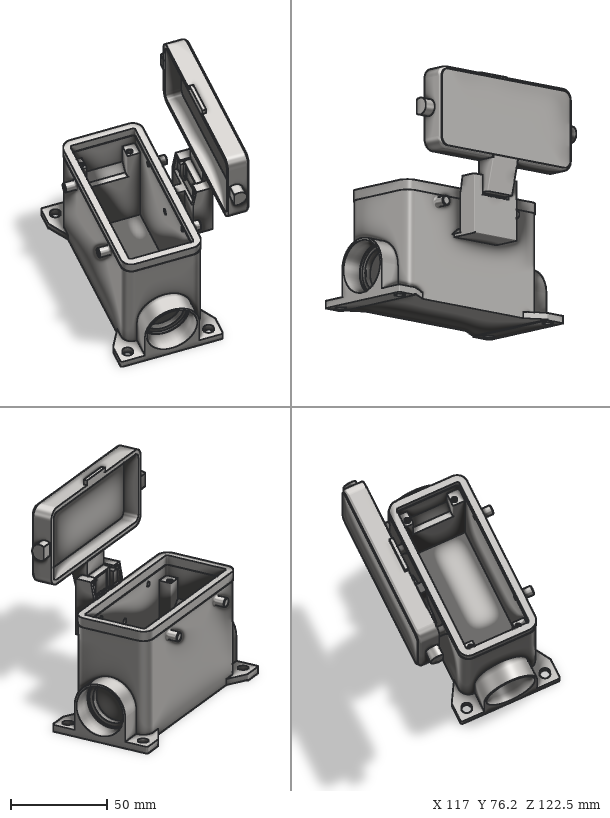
import cadquery as cq

housing_length = 94.3
housing_width = 44.3
housing_top = 63.1
housing_bottom = 0.5
band_bottom = 57.6
band_step = 0.2
housing_corner_radius = 5.9
cavity_length = 86.2
cavity_width = 36.0
cavity_corner_radius = 1.2
cavity_floor = 3.9
cavity_step = 0.4

entry_wall_spacing = 71.8
shelf_height = 35.4
shelf_slope_run = 4.2

screw_post_width = 7.0
screw_post_top = 51.2
screw_post_edge_radius = 0.5
screw_spacing_x = 77.7
screw_spacing_y = 27.2
screw_hole_diameter = 2.2
screw_hole_depth = 14.7
screw_hole_chamfer = 0.5

foot_length = 117.0
foot_width = 57.1
foot_height = 3.9
foot_corner_radius = 1.1
foot_inner_x = 46.9
taper_end_x = 35.6
foot_hole_x = 52.5
foot_hole_y = 22.5
foot_hole_diameter = 5.8

entry_height = 17.9
entry_radius = 15.2
entry_mouth_radius = 14.0
entry_bore_radius = 13.6
entry_bore_depth = 12.9
knockout_radius = 11.5
knockout_depth = 3.7

peg_x = 24.7
peg_height = 53.5
peg_radius = 2.6
peg_root_fillet = 1.1
peg_reach = 28.4
peg_end_chamfer = 0.4
wall_hole_depth = 2.5
peg_hole_diameter = 2.7
hinge_hole_diameter = 3.2
hinge_hole_height = 42.1

bracket_width = 30.1
bracket_back = 39.5
bracket_front = 28.3
bracket_top_front = 30.1
bracket_top = 67.7
bracket_bottom = 36.0
bracket_edge_fillet = 0.5
lip_front = 23.8
lip_thickness = 1.8
sill_height = 57.1
sill_thickness = 1.8
slot_floor = 51.5
ear_seat = 64.3
ear_face_recess = 2.2
ear_wall = 1.8
ear_roof = 1.1
ear_back_wall = 1.5
stem_half_width = 2.8
stem_arc_radius = 8.0
stem_foot_height = 41.2
stem_foot_half_width = 14.7

cover_length = 94.3
cover_bottom = 76.0
cover_top = 119.8
cover_front = 35.6
cover_back = 47.7
cover_corner_radius = 5.9
cover_wall = 2.6
cover_back_thickness = 3.1
cover_back_fillet = 1.5
cover_panel_height = 0.6
tab_width = 18.9
tab_top = 122.5
tab_thickness = 2.1
latch_reach = 53.4
latch_radius = 4.5
latch_y = 39.1
latch_flat_y = 36.5

tongue_width = 17.6
tongue_gap = 0.4
tongue_front = 36.0
tongue_bottom = 58.5
tongue_bottom_back = 42.6
tongue_back_fillet = 0.5
knuckle_front = 32.3
knuckle_ledge_top = 67.4
knuckle_top = 66.6
knuckle_recess_width = 12.7
knuckle_recess_depth = 0.7
knuckle_recess_top = 65.9
knuckle_bottom = 55.1
knuckle_depth = 4.9

lower_length = housing_length - 2 * band_step
lower_width = housing_width - 2 * band_step
lower_cavity_width = cavity_width + 2 * cavity_step
end_wall_x = cavity_length / 2 + cavity_step
inner_wall_y = lower_cavity_width / 2
post_inner_x = entry_wall_spacing / 2
slot_width = tongue_width + 2 * tongue_gap
pocket_width = bracket_width - 2 * ear_wall
embed = 1.2


def box(x_range, y_range, z_range):
    """Axis-aligned block between the given limits."""
    size = [high - low for low, high in (x_range, y_range, z_range)]
    corner = (x_range[0], y_range[0], z_range[0])
    return cq.Workplane("XY").box(*size, centered=False).translate(corner)


def rounded_block(length, width, radius, bottom, top):
    """Upright block centred on Z, with rounded vertical edges."""
    block = cq.Workplane("XY").workplane(offset=bottom).rect(length, width).extrude(top - bottom)
    return block.edges("|Z").fillet(radius)


def cylinder(center, direction, radius, length):
    """Round bar that starts at center and runs along direction."""
    return cq.Workplane(cq.Solid.makeCylinder(radius, length, cq.Vector(*center), cq.Vector(*direction)))


def prism_along_x(points, width):
    """Prism of a YZ outline, centred on the YZ plane."""
    return cq.Workplane("YZ").polyline(points).close().extrude(width / 2, both=True)


def housing_shell():
    lower = rounded_block(lower_length, lower_width, housing_corner_radius, housing_bottom, band_bottom)
    band = rounded_block(housing_length, housing_width, housing_corner_radius, band_bottom, housing_top)
    return lower.union(band)


def foot(side):
    """Mounting foot with its tapered gussets; side is -1 or 1."""
    end_x = foot_length / 2
    half_width = foot_width / 2
    wall_y = lower_width / 2
    outline = [
        (end_x, -half_width),
        (end_x, half_width),
        (foot_inner_x, half_width),
        (taper_end_x, wall_y),
        (taper_end_x, -wall_y),
        (foot_inner_x, -half_width),
    ]
    plate = cq.Workplane("XY").polyline(outline).close().extrude(foot_height)
    for side_y in ("<Y", ">Y"):
        plate = plate.faces(side_y).edges("|Z").fillet(foot_corner_radius)
    relief = box((0, foot_inner_x), (-half_width, half_width), (0, housing_bottom))
    plate = plate.cut(relief)
    for y in (-foot_hole_y, foot_hole_y):
        plate = plate.cut(cylinder((foot_hole_x, y, 0), (0, 0, 1), foot_hole_diameter / 2, foot_height))
    return plate if side > 0 else plate.mirror("YZ")


def entry_boss(side):
    """Arched boss that carries a cable entry."""
    wall_x = lower_length / 2 - embed
    reach = foot_length / 2 - wall_x
    arch = cylinder((wall_x, 0, entry_height), (1, 0, 0), entry_radius, reach)
    base = box((wall_x, foot_length / 2), (-entry_radius, entry_radius), (housing_bottom, entry_height))
    boss = arch.union(base)
    return boss if side > 0 else boss.mirror("YZ")


def entry_bore(side):
    """Blind stepped bore of a cable entry, closed by a knockout wall."""
    end = (side * foot_length / 2, 0, entry_height)
    inward = (-side, 0, 0)
    mouth = cylinder(end, inward, entry_mouth_radius, (foot_length - housing_length) / 2)
    bore = mouth.union(cylinder(end, inward, entry_bore_radius, entry_bore_depth))
    return bore.union(cylinder(end, inward, knockout_radius, entry_bore_depth + knockout_depth))


def cavity():
    """Open interior: wide above the shelves, narrower between the thickened end walls."""
    rim = rounded_block(cavity_length, cavity_width, cavity_corner_radius, band_bottom, housing_top)
    below = rounded_block(2 * end_wall_x, lower_cavity_width, cavity_corner_radius + cavity_step,
                          cavity_floor, band_bottom)
    slope_x = end_wall_x - shelf_slope_run
    half_profile = [
        (post_inner_x, cavity_floor),
        (post_inner_x, shelf_height),
        (slope_x, shelf_height),
        (end_wall_x, shelf_height + shelf_slope_run),
        (end_wall_x, cavity_floor),
    ]
    end_wall = cq.Workplane("XZ").polyline(half_profile).close().extrude(inner_wall_y, both=True)
    return rim.union(below).cut(end_wall).cut(end_wall.mirror("YZ"))


def screw_post(side_x, side_y):
    """Corner post with a blind, chamfered screw hole."""
    inner_y = inner_wall_y - screw_post_width
    outer_x = end_wall_x + embed
    post = box((post_inner_x, outer_x), (inner_y, inner_wall_y + embed), (cavity_floor, screw_post_top))
    inner_edge = cq.selectors.NearestToPointSelector((post_inner_x, inner_y, screw_post_top / 2))
    post = post.edges("|Z").edges(inner_edge).fillet(screw_post_edge_radius)
    center = (screw_spacing_x / 2, screw_spacing_y / 2, screw_post_top)
    radius = screw_hole_diameter / 2
    hole = cylinder(center, (0, 0, -1), radius, screw_hole_depth)
    mouth = cq.Workplane(cq.Solid.makeCone(radius + screw_hole_chamfer, radius, screw_hole_chamfer,
                                           cq.Vector(*center), cq.Vector(0, 0, -1)))
    post = post.cut(hole).cut(mouth)
    if side_x < 0:
        post = post.mirror("YZ")
    if side_y < 0:
        post = post.mirror("XZ")
    return post


def peg(x, side):
    """Locking peg on a long wall, with a flared root; side is the sign of Y."""
    wall = lower_width / 2
    flare_end = wall + peg_root_fillet
    flare_radius = peg_radius + peg_root_fillet
    root = wall - embed
    profile = (
        cq.Workplane("XY")
        .moveTo(0, root)
        .lineTo(flare_radius, root)
        .lineTo(flare_radius, wall)
        .radiusArc((peg_radius, flare_end), peg_root_fillet)
        .lineTo(peg_radius, peg_reach - peg_end_chamfer)
        .lineTo(peg_radius - peg_end_chamfer, peg_reach)
        .lineTo(0, peg_reach)
        .close()
    )
    body = profile.revolve(360, (0, 0, 0), (0, 1, 0))
    if side < 0:
        body = body.mirror("XZ")
    return body.translate((x, 0, peg_height))


def bracket_stem():
    """Flared rib that joins the bracket to the back wall of the housing."""
    arc_start_x = stem_half_width + stem_arc_radius
    arc_end_z = stem_foot_height + stem_arc_radius
    foot_z = bracket_bottom + lip_thickness
    outline = (
        cq.Workplane("XZ", origin=(0, bracket_front, 0))
        .moveTo(-stem_foot_half_width, foot_z)
        .lineTo(stem_foot_half_width, foot_z)
        .lineTo(arc_start_x, stem_foot_height)
        .radiusArc((stem_half_width, arc_end_z), stem_arc_radius)
        .lineTo(stem_half_width, sill_height)
        .lineTo(-stem_half_width, sill_height)
        .lineTo(-stem_half_width, arc_end_z)
        .radiusArc((-arc_start_x, stem_foot_height), stem_arc_radius)
        .close()
    )
    return outline.extrude(bracket_front - lower_width / 2 + embed)


def bracket():
    """Block with a bottom lip, opened at the top front into a slot for the hinge knuckle."""
    lip_top = bracket_bottom + lip_thickness
    profile = [
        (bracket_back, bracket_bottom),
        (bracket_back, bracket_top),
        (bracket_top_front, bracket_top),
        (bracket_front, band_bottom),
        (bracket_front, lip_top),
        (lip_front, lip_top),
        (lip_front, bracket_bottom),
    ]
    block = prism_along_x(profile, bracket_width)
    block = block.faces(">Y").edges().fillet(bracket_edge_fillet)
    half_slot = slot_width / 2
    half_pocket = pocket_width / 2
    pocket_z = (ear_seat, bracket_top - ear_roof)
    pocket = box((-half_pocket, half_pocket), (lip_front, bracket_back - ear_back_wall), pocket_z)
    face_recess = box((-half_pocket, half_pocket), (lip_front, bracket_front + ear_face_recess),
                      (sill_height, bracket_top - ear_roof))
    slot = box((-half_slot, half_slot), (lip_front, bracket_back), (sill_height, bracket_top))
    well = box((-half_slot, half_slot), (bracket_front + sill_thickness, bracket_back - ear_back_wall),
               (slot_floor, sill_height))
    return block.cut(pocket).cut(face_recess).cut(slot).cut(well)


def make_housing():
    body = housing_shell()
    for side in (-1, 1):
        body = body.union(foot(side)).union(entry_boss(side))
    body = body.cut(cavity())
    for side in (-1, 1):
        body = body.cut(entry_bore(side))
        for side_y in (-1, 1):
            body = body.union(screw_post(side, side_y))
            body = body.union(peg(side * peg_x, side_y))
            peg_hole = (side * peg_x, side_y * inner_wall_y, peg_height)
            body = body.cut(cylinder(peg_hole, (0, side_y, 0), peg_hole_diameter / 2, wall_hole_depth))
    body = body.union(bracket().union(bracket_stem()))
    hinge_hole = (0, inner_wall_y, hinge_hole_height)
    return body.cut(cylinder(hinge_hole, (0, 1, 0), hinge_hole_diameter / 2, wall_hole_depth))


def cover_tray():
    """Shallow tray that opens towards -Y."""
    height = cover_top - cover_bottom
    middle_z = (cover_top + cover_bottom) / 2
    front = cq.Workplane("XZ", origin=(0, cover_front, middle_z))
    rim_back = cover_back - cover_panel_height
    tray = front.rect(cover_length, height).extrude(cover_front - rim_back)
    tray = tray.edges("|Y").fillet(cover_corner_radius)
    tray = tray.faces(">Y").edges().fillet(cover_back_fillet)
    panel_inset = 2 * cover_back_fillet
    panel = front.rect(cover_length - panel_inset, height - panel_inset).extrude(cover_front - cover_back)
    panel = panel.edges("|Y").fillet(cover_corner_radius - cover_back_fillet)
    recess_depth = cover_back - cover_front - cover_back_thickness
    recess = front.rect(cover_length - 2 * cover_wall, height - 2 * cover_wall).extrude(-recess_depth)
    recess = recess.edges("|Y").fillet(cover_corner_radius - cover_wall)
    return tray.union(panel).cut(recess)


def latch_stud(side):
    """Round stud with a flat towards -Y, on one end of the cover."""
    root_x = cover_length / 2 - cover_wall / 2
    center_z = (cover_top + cover_bottom) / 2
    stud = cylinder((side * root_x, latch_y, center_z), (side, 0, 0), latch_radius, latch_reach - root_x)
    flat = box((-latch_reach, latch_reach), (latch_y - latch_radius, latch_flat_y),
               (center_z - latch_radius, center_z + latch_radius))
    return stud.cut(flat)


def hinge_tongue():
    """Arm below the cover that ends in a hinge knuckle."""
    arm_top = cover_bottom + cover_wall
    arm_back = cover_back - cover_panel_height
    outline = [
        (tongue_front, arm_top),
        (arm_back, arm_top),
        (arm_back, cover_bottom),
        (tongue_bottom_back, tongue_bottom),
        (knuckle_front + knuckle_depth, tongue_bottom),
        (knuckle_front, knuckle_bottom),
        (knuckle_front, knuckle_top),
        (tongue_front, knuckle_ledge_top),
    ]
    arm = prism_along_x(outline, tongue_width)
    recess = box((-knuckle_recess_width / 2, knuckle_recess_width / 2),
                 (knuckle_front, knuckle_front + knuckle_recess_depth),
                 (knuckle_bottom, knuckle_recess_top))
    sloped_back = arm.faces(cq.selectors.NearestToPointSelector(
        (0, (arm_back + tongue_bottom_back) / 2, (cover_bottom + tongue_bottom) / 2)))
    arm = sloped_back.edges("not |X").fillet(tongue_back_fillet)
    return arm.cut(recess)


def make_cover():
    body = cover_tray()
    tab = box((-tab_width / 2, tab_width / 2), (cover_front, cover_front + tab_thickness),
              (cover_top - cover_wall / 2, tab_top))
    body = body.union(tab).union(hinge_tongue())
    for side in (-1, 1):
        body = body.union(latch_stud(side))
    return body


housing = make_housing()
cover = make_cover()
result = cq.Compound.makeCompound([housing.solids().val(), cover.solids().val()])